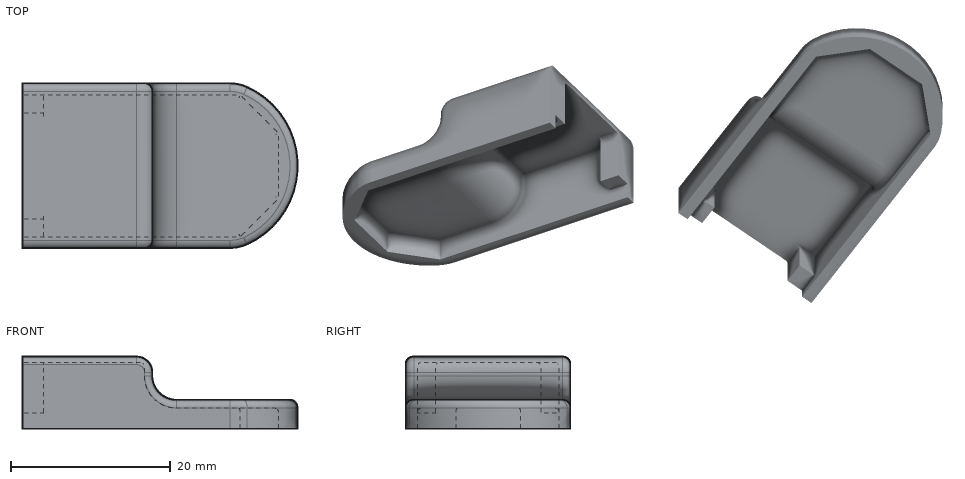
import cadquery as cq

length = 34.55
width = 20.7
height = 9.1

tongue_height = 3.65
step_x = 16.3
step_top_radius = 2.0
step_foot_radius = 3.0
top_edge_radius = 1.0

nose_radius = 10.85
nose_blend_radius = 5.18

roof_thickness = 0.73
step_wall = 1.05
side_wall = 1.45
cavity_edge_radius = 0.52
cavity_end_x = 32.12
cavity_end_flat = 8.1

front_wall = 2.6
mouth_width = 13.25
mouth_corner_radius = 0.52
mouth_foot_height = 2.0

cavity_width = width - 2 * side_wall
roof_z = height - roof_thickness


def stepped_profile(start_x, top_z, wall_x, low_z, end_x, depth):
    """Side profile of a tall block stepping down to a low one, extruded about Y = 0."""
    return (
        cq.Workplane("XZ")
        .moveTo(start_x, 0)
        .lineTo(start_x, top_z)
        .lineTo(wall_x, top_z)
        .lineTo(wall_x, low_z)
        .lineTo(end_x, low_z)
        .lineTo(end_x, 0)
        .close()
        .extrude(depth / 2, both=True)
    )


def fillet_step(block, wall_x, top_z, low_z, top_radius, foot_radius):
    """Round the upper and lower Y-direction edges of the step."""
    top_edge = cq.selectors.NearestToPointSelector((wall_x, 0, top_z))
    foot_edge = cq.selectors.NearestToPointSelector((wall_x, 0, low_z))
    block = block.edges("|Y").edges(top_edge).fillet(top_radius)
    return block.edges("|Y").edges(foot_edge).fillet(foot_radius)


def make_body():
    nose_center_x = length - nose_radius
    shoulder_x = nose_center_x + (nose_radius**2 - (width / 2) ** 2) ** 0.5
    plan = (
        cq.Workplane("XY")
        .moveTo(0, -width / 2)
        .lineTo(shoulder_x, -width / 2)
        .threePointArc((length, 0), (shoulder_x, width / 2))
        .lineTo(0, width / 2)
        .close()
        .extrude(height)
        .edges("|Z and (not <X)")
        .fillet(nose_blend_radius)
    )
    steps = stepped_profile(0, height, step_x, tongue_height, length, width)
    steps = fillet_step(steps, step_x, height, tongue_height, step_top_radius, step_foot_radius)
    body = plan.intersect(steps)
    rim = cq.selectors.NearestToPointSelector((step_x / 2, width / 2, height))
    return body.edges(rim).fillet(top_edge_radius)


def make_cavity():
    wall_x = step_x - step_wall
    ceiling_z = tongue_height - step_wall
    corner_x = cavity_end_x - (cavity_width - cavity_end_flat) / 2
    plan = (
        cq.Workplane("XY")
        .polyline(
            [
                (front_wall, -cavity_width / 2),
                (corner_x, -cavity_width / 2),
                (cavity_end_x, -cavity_end_flat / 2),
                (cavity_end_x, cavity_end_flat / 2),
                (corner_x, cavity_width / 2),
                (front_wall, cavity_width / 2),
            ]
        )
        .close()
        .extrude(height)
    )
    steps = stepped_profile(front_wall, roof_z, wall_x, ceiling_z, length, cavity_width)
    steps = fillet_step(
        steps, wall_x, roof_z, ceiling_z, cavity_edge_radius, step_foot_radius + step_wall
    )
    cavity = plan.intersect(steps)
    return cavity.faces("+Z").faces("<Z").edges("not <X").fillet(cavity_edge_radius)


def make_mouth():
    depth = 2 * front_wall
    upper = (
        cq.Workplane("XY")
        .box(depth, mouth_width, roof_z, centered=(True, True, False))
        .edges("|X and >Z")
        .fillet(mouth_corner_radius)
    )
    foot = cq.Workplane("XY").box(
        depth, cavity_width, mouth_foot_height, centered=(True, True, False)
    )
    return upper.union(foot)


result = make_body().cut(make_cavity()).cut(make_mouth())